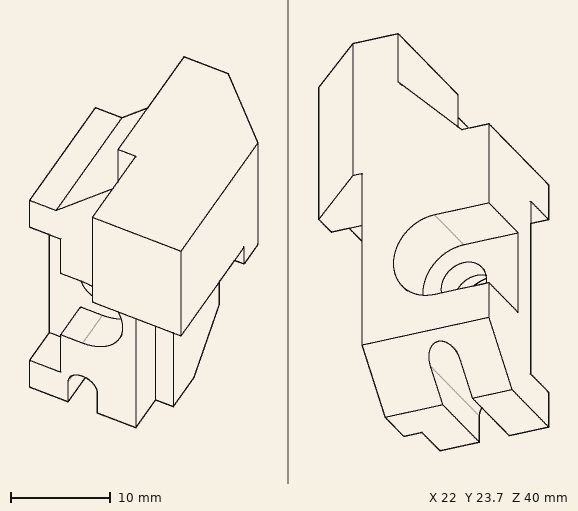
import cadquery as cq

width = 22.0
height = 40.0
body_depth = 14.3
shoulder_height = 27.5
shoulder_width = 3.0
bevel = 7.0
column_front_width = 12.0
column_width = 14.0
head_underside = 25.0
setback_depth = 4.3
bottom_bevel = 5.5

arm_reach = 9.4

pivot_x = 6.0
pivot_z = 14.0
pivot_diameter = 5.0
recess_radius = 4.5
front_recess_depth = 4.3
rear_recess_depth = 7.0
side_pocket_width = 3.5
side_pocket_height = 19.6

slot_width = 3.3
slot_height = 4.6


def block(x0, x1, y0, y1, z0, z1):
    """Box given by its limits along each axis."""
    return cq.Workplane("XY").box(x1 - x0, y1 - y0, z1 - z0, centered=False).translate((x0, y0, z0))


def rod(x, z, radius, y0, y1):
    """Cylinder running along Y."""
    return cq.Workplane("XZ", origin=(x, y0, z)).circle(radius).extrude(y0 - y1)


def open_recess(y0, y1):
    """Round-ended recess around the pivot, open at the left face."""
    channel = block(0, pivot_x, y0, y1, pivot_z - recess_radius, pivot_z + recess_radius)
    return channel.union(rod(pivot_x, pivot_z, recess_radius, y0, y1))


def make_body():
    """Upright column with an overhanging head, set back to the right of the front face."""
    step_x = shoulder_width + bevel
    profile = [
        (0, 0),
        (column_width, 0),
        (column_width, head_underside),
        (width, head_underside),
        (width, height),
        (step_x, height),
        (step_x, shoulder_height + bevel),
        (shoulder_width, shoulder_height),
        (0, shoulder_height),
    ]
    body = cq.Workplane("XZ").polyline(profile).close().extrude(-body_depth)
    setback = block(column_front_width, width, 0, setback_depth, 0, shoulder_height)
    return body.cut(setback)


def rear_corner_cut():
    """Vertical bevel on the rear right corner of the head."""
    corner = [(width, body_depth), (width - bevel, body_depth), (width, body_depth - bevel)]
    return cq.Workplane("XY").polyline(corner).close().extrude(height)


def bottom_corner_cut():
    """Bevel along the rear edge of the base."""
    corner = [(body_depth, 0), (body_depth - bottom_bevel, 0), (body_depth, bottom_bevel)]
    return cq.Workplane("YZ").polyline(corner).close().extrude(width)


def base_slot():
    """Slot through the full depth, centred below the pivot."""
    radius = slot_width / 2
    arc_z = slot_height - radius
    straight = block(pivot_x - radius, pivot_x + radius, 0, body_depth, 0, arc_z)
    return straight.union(rod(pivot_x, arc_z, radius, 0, body_depth))


arm = block(column_front_width, width, -arm_reach, setback_depth, shoulder_height, height)
side_pocket = block(
    0, side_pocket_width, 0, front_recess_depth,
    (shoulder_height - side_pocket_height) / 2, (shoulder_height + side_pocket_height) / 2,
)

result = make_body().union(arm)
result = result.cut(rear_corner_cut()).cut(bottom_corner_cut())
result = result.cut(side_pocket)
result = result.cut(open_recess(0, front_recess_depth))
result = result.cut(open_recess(body_depth - rear_recess_depth, body_depth))
result = result.cut(rod(pivot_x, pivot_z, pivot_diameter / 2, 0, body_depth))
result = result.cut(base_slot())